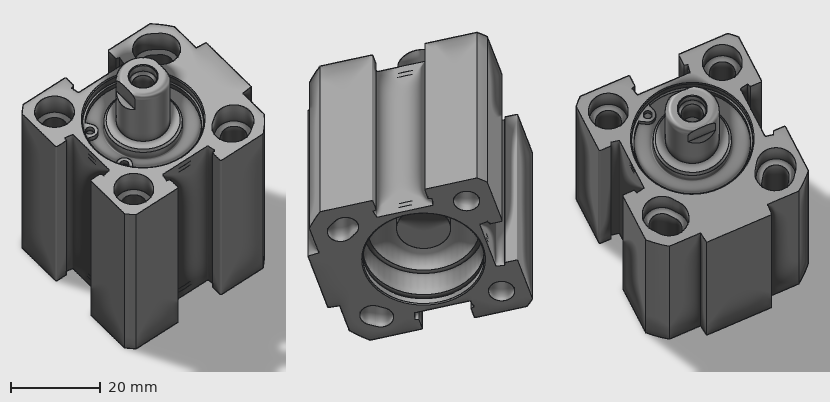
import cadquery as cq
import math


housing_width = 40.0
housing_depth = 44.5
half_width = housing_width / 2
housing_height = 48.5
corner_circle_diameter = 54.0
back_face_y = 21.8
tab_top_y = housing_depth - half_width
tab_top_half_width = 8.0
tab_base_half_width = 8.25

slot_half_width = 6.0
slot_lip_depth = 2.9
slot_floor_depth = 5.1
slot_undercut_half_width = 6.85
slot_floor_half_width = 6.45
slot_undercut_slope = 0.3
slot_lip_fillet = 0.3
slot_floor_fillet = 0.25

mount_spacing = 28.0
mount_hole_diameter = 5.8
mount_counterbore_diameter = 8.8
counterbore_depth = 5.8
elongation_x = 1.0
elongation_y = 1.5

bore_diameter = 25.0
mouth_diameter = 27.0
mouth_chamfer = 0.25
mouth_depth = 10.25
groove_diameter = 29.45
groove_offset = 1.9
groove_height = 1.3

ring_inner_diameter = 26.0
ear_x = 6.1
ear_y = -10.3
ear_radius = 1.8
ear_hole_diameter = 2.0
ear_shoulder = (9.3, -10.2)
ear_tangent_angle = 58.0
gap_half_width_at_ear = ear_x - ear_radius
gap_half_width_at_rim = 5.1

cover_top_z = housing_height - groove_offset - groove_height
cover_bottom_z = housing_height - mouth_depth
collar_diameter = 17.5
collar_height = 2.9
collar_chamfer = 0.5
collar_fillet = 0.4

rod_diameter = 12.0
rod_top_z = 64.0
rod_bottom_z = mouth_depth
rod_fillet = 1.4
flat_width = 10.0
flat_height = 4.6
thread_relief_diameter = 6.3
thread_relief_depth = 2.2
thread_diameter = 4.9
thread_depth = 9.6
thread_chamfer = 0.2


def cylinder(diameter, bottom_z, top_z):
    """A cylinder on the Z axis between two heights."""
    return cq.Workplane("XY").workplane(offset=bottom_z).circle(diameter / 2).extrude(top_z - bottom_z)


def cone(bottom_diameter, top_diameter, bottom_z, top_z):
    """A truncated cone on the Z axis between two heights."""
    return cq.Workplane(
        cq.Solid.makeCone(
            bottom_diameter / 2, top_diameter / 2, top_z - bottom_z, cq.Vector(0, 0, bottom_z)
        )
    )


def housing_blank():
    """The block, its corners rounded by one large circle, with the tapered tab on its back face."""
    block = (
        cq.Workplane("XY")
        .moveTo(-half_width, -half_width)
        .lineTo(half_width, -half_width)
        .lineTo(half_width, back_face_y)
        .lineTo(tab_base_half_width, back_face_y)
        .lineTo(tab_top_half_width, tab_top_y)
        .lineTo(-tab_top_half_width, tab_top_y)
        .lineTo(-tab_base_half_width, back_face_y)
        .lineTo(-half_width, back_face_y)
        .close()
        .extrude(housing_height)
    )
    return block.intersect(cylinder(corner_circle_diameter, 0, housing_height))


def sensor_slot(direction):
    """An undercut slot along the full height; direction is the angle its opening faces."""
    lip_x = half_width - slot_lip_depth
    floor_x = half_width - slot_floor_depth
    undercut_x = lip_x - slot_undercut_slope
    fillet_end_x = half_width - slot_lip_fillet
    fillet_end_y = slot_half_width + slot_lip_fillet
    slot = (
        cq.Workplane("XY")
        .moveTo(half_width, -fillet_end_y)
        .lineTo(half_width, fillet_end_y)
        .radiusArc((fillet_end_x, slot_half_width), slot_lip_fillet)
        .lineTo(lip_x, slot_half_width)
        .lineTo(undercut_x, slot_undercut_half_width)
        .lineTo(floor_x, slot_floor_half_width)
        .lineTo(floor_x, -slot_floor_half_width)
        .lineTo(undercut_x, -slot_undercut_half_width)
        .lineTo(lip_x, -slot_half_width)
        .lineTo(fillet_end_x, -slot_half_width)
        .radiusArc((half_width, -fillet_end_y), slot_lip_fillet)
        .close()
        .extrude(housing_height)
    )
    slot = slot.edges("|Z and <X").fillet(slot_floor_fillet)
    return slot.rotate((0, 0, 0), (0, 0, 1), direction)


def mount_tool(side, diameter, bottom_z, elongated):
    """The round or elongated cutter for a mounting hole, from bottom_z to the top of the housing."""
    x = side * mount_spacing / 2
    y = mount_spacing / 2
    height = housing_height - bottom_z
    plane = cq.Workplane("XY").workplane(offset=bottom_z)
    if not elongated:
        return plane.center(x, -y).circle(diameter / 2).extrude(height)
    length = math.hypot(elongation_x, elongation_y)
    angle = math.degrees(math.atan2(elongation_y, -side * elongation_x))
    return (
        plane.center(x - side * elongation_x / 2, y + elongation_y / 2)
        .slot2D(length + diameter, diameter, angle)
        .extrude(height)
    )


def bore_mouth():
    """The cutter for the widened, chamfered and grooved top end of the bore."""
    groove_top_z = housing_height - groove_offset
    chamfered_diameter = mouth_diameter + 2 * mouth_chamfer
    return (
        cylinder(mouth_diameter, housing_height - mouth_depth, housing_height)
        .union(cylinder(groove_diameter, groove_top_z - groove_height, groove_top_z))
        .union(cone(mouth_diameter, chamfered_diameter, housing_height - mouth_chamfer, housing_height))
    )


def make_housing():
    housing = housing_blank()
    for direction in (0, 180, 270):
        housing = housing.cut(sensor_slot(direction))
    for side in (-1, 1):
        for elongated in (False, True):
            counterbore_z = housing_height - counterbore_depth
            housing = housing.cut(mount_tool(side, mount_hole_diameter, 0, elongated))
            housing = housing.cut(mount_tool(side, mount_counterbore_diameter, counterbore_z, elongated))
    top_mouth = bore_mouth()
    middle = (0, 0, housing_height / 2)
    bottom_mouth = top_mouth.mirror("XY", middle)
    bore = cylinder(bore_diameter, 0, housing_height)
    return housing.cut(bore).cut(top_mouth).cut(bottom_mouth)


def make_ring():
    """An open ring filling the top groove, with a drilled ear at each side of its gap."""
    rim_radius = groove_diameter / 2
    shoulder_x, shoulder_y = ear_shoulder
    tangent = math.radians(ear_tangent_angle)
    flank_start = (ear_x + ear_radius * math.cos(tangent), ear_y + ear_radius * math.sin(tangent))
    plane = cq.Workplane("XY").workplane(offset=cover_top_z)
    ring = plane.circle(rim_radius).circle(ring_inner_diameter / 2).extrude(groove_height)
    gap = (
        plane.moveTo(-gap_half_width_at_ear, ear_y)
        .lineTo(gap_half_width_at_ear, ear_y)
        .lineTo(gap_half_width_at_rim, -rim_radius)
        .lineTo(-gap_half_width_at_rim, -rim_radius)
        .close()
        .extrude(groove_height)
    )
    ring = ring.cut(gap)
    rim_y = -math.sqrt(rim_radius**2 - gap_half_width_at_rim**2)
    ear = (
        plane.moveTo(gap_half_width_at_ear, ear_y)
        .lineTo(*flank_start)
        .lineTo(shoulder_x, shoulder_y)
        .lineTo(gap_half_width_at_rim, rim_y)
        .close()
        .extrude(groove_height)
        .union(plane.center(ear_x, ear_y).circle(ear_radius).extrude(groove_height))
        .cut(plane.center(ear_x, ear_y).circle(ear_hole_diameter / 2).extrude(groove_height))
    )
    return ring.union(ear).union(ear.mirror("YZ"))


def make_cover():
    """The disc that closes the bore, with a collar around the rod and a hole for the rod."""
    collar_top_z = cover_top_z + collar_height
    disc = cylinder(mouth_diameter, cover_bottom_z, cover_top_z)
    collar = cylinder(collar_diameter, cover_top_z, collar_top_z).faces(">Z").chamfer(collar_chamfer)
    cover = disc.union(collar)
    reach = collar_diameter / 2 + collar_fillet
    root = cq.selectors.BoxSelector(
        (-reach, -reach, cover_top_z - collar_fillet),
        (reach, reach, cover_top_z + collar_fillet),
        boundingbox=True,
    )
    cover = cover.edges(root).fillet(collar_fillet)
    return cover.cut(cylinder(rod_diameter, cover_bottom_z, collar_top_z))


def wrench_flat(side):
    """The cutter for one flat, whose lower end slopes out at 45 degrees."""
    inner_y = side * flat_width / 2
    outer_y = side * rod_diameter / 2
    slope_z = rod_top_z - flat_height
    slope_drop = (rod_diameter - flat_width) / 2
    return (
        cq.Workplane("YZ")
        .moveTo(inner_y, rod_top_z)
        .lineTo(inner_y, slope_z)
        .lineTo(outer_y, slope_z - slope_drop)
        .lineTo(outer_y, rod_top_z)
        .close()
        .extrude(rod_diameter / 2, both=True)
    )


def threaded_hole():
    """The cutter for the chamfered relief, the conical step and the blind hole in the rod end."""
    relief_z = rod_top_z - thread_relief_depth
    step_z = relief_z - (thread_relief_diameter - thread_diameter) / 2
    chamfered_diameter = thread_relief_diameter + 2 * thread_chamfer
    return (
        cylinder(thread_diameter, rod_top_z - thread_depth, rod_top_z)
        .union(cone(thread_diameter, thread_relief_diameter, step_z, relief_z))
        .union(cylinder(thread_relief_diameter, relief_z, rod_top_z))
        .union(cone(thread_relief_diameter, chamfered_diameter, rod_top_z - thread_chamfer, rod_top_z))
    )


def make_rod():
    rod = cylinder(rod_diameter, rod_bottom_z, rod_top_z).faces(">Z").edges().fillet(rod_fillet)
    for side in (-1, 1):
        rod = rod.cut(wrench_flat(side))
    return rod.cut(threaded_hole())


housing = make_housing()
cover = make_cover()
ring = make_ring()
rod = make_rod()

result = cq.Compound.makeCompound([housing.val(), cover.val(), ring.val(), rod.val()])